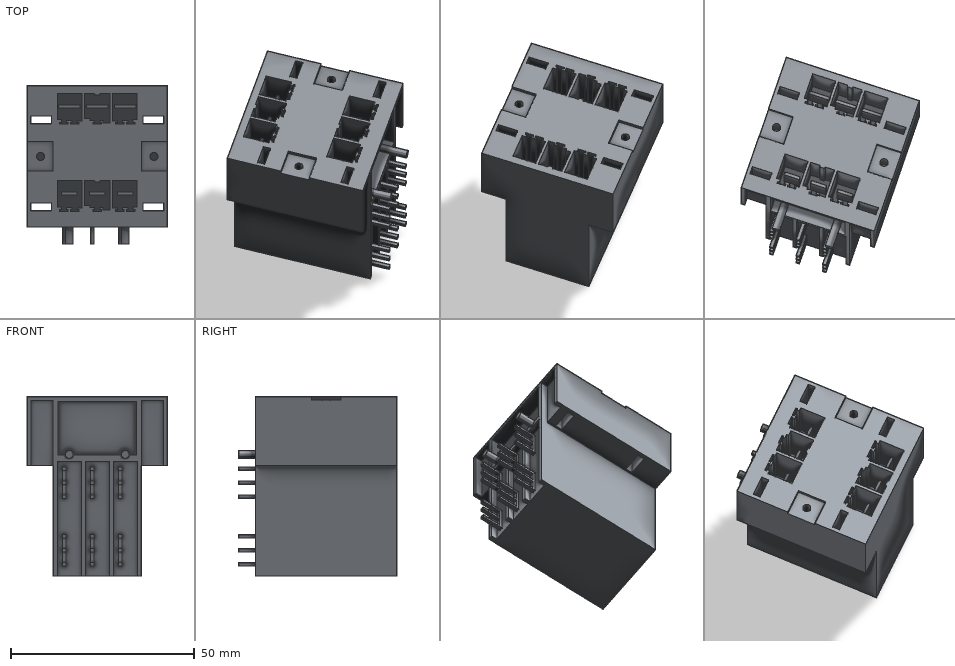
import cadquery as cq

WIDTH = 38.25
DEPTH = 38.6
HEIGHT = 48.9
STEM_WIDTH = 24.1
HEAD_HEIGHT = 18.8
HEAD_BOTTOM = HEIGHT - HEAD_HEIGHT

PITCH = 7.65
COLUMNS = (-PITCH, 0.0, PITCH)
ROW_SPACING = 23.7
FRONT_ROW = 0.0
REAR_ROW = FRONT_ROW + ROW_SPACING
ROWS = (FRONT_ROW, REAR_ROW)

WALL = 1.05
WING_RECESS_DEPTH = 2.0
WINDOW_WIDTH = 21.3
WINDOW_BOTTOM = 33.0
WINDOW_TOP = 47.6
WINDOW_DEPTH = 3.65
CHANNEL_WIDTH = 6.55
CHANNEL_OFFSET = 0.1
CHANNEL_TOP = 31.3
CHANNEL_DEPTH = 1.7

TAIL_LENGTH = 4.6
PEG_DIAMETER = 2.15
PEG_Z = 33.15

SLOT_LENGTH = 5.57
SLOT_WIDTH = 2.05
SLOT_CENTRE_Y = 5.55
PAD_WIDTH = 8.05
PAD_DEPTH = 1.0
PAD_INNER_X = STEM_WIDTH / 2
SCREW_X = 15.45
SCREW_DIAMETER = 2.15
SCREW_DEPTH = 7.35

POCKET_DEPTH = 14.65
POCKET_BACK_Y = 12.75
SIDE_POCKET_INNER_X = 4.2
SIDE_POCKET_OUTER_X = 10.8
SIDE_OUTER_LEDGE_Y = 5.57
SIDE_OUTER_LEDGE_X = 9.8
SIDE_INNER_LEDGE_X = 5.5
SIDE_INNER_LEDGE_Y = 5.2
MIDDLE_POCKET_WIDTH = 6.85
MIDDLE_LEFT_LEDGE_Y = 5.95
MIDDLE_LEFT_LEDGE_X = -1.95
MIDDLE_RIGHT_LEDGE_X = 1.55
MIDDLE_RIGHT_LEDGE_Y = 4.75
BRIDGE_Y = 5.4
RIB_BASE_WIDTH = 1.65
RIB_TIP_WIDTH = 1.15
RIB_HEIGHT = 0.45

KEY_NECK_WIDTH = 1.4
KEY_HEAD_WIDTH = 2.3
KEY_HEAD_TOP_Y = 4.8
KEY_BOTTOM_Y = 4.35

COMB_THICKNESS = 1.0
BLADE_THICKNESS = 0.85
BLADE_CENTRE_Y = 9.25
BLADE_RECESS = 7.35
BLADE_TOP = HEIGHT - BLADE_RECESS
FRONT_BLADE_WIDTH = 4.35
REAR_BLADE_WIDTH = 5.95
COMB_OFFSET = -1.3
TINE_PITCH = 3.8
TINE_COUNT = 3
TINE_HEIGHT = 1.0
COMB_HEIGHT = (TINE_COUNT - 1) * TINE_PITCH + TINE_HEIGHT
FRONT_COMB_BOTTOM = 21.15
REAR_COMB_BOTTOM = 2.7
WEB_PROTRUSION = 0.75
WEB_FRONT_Y = CHANNEL_DEPTH - WEB_PROTRUSION


def block(x0, x1, y0, y1, z0, z1):
    """Box between two opposite corners."""
    return cq.Workplane("XY").box(x1 - x0, y1 - y0, z1 - z0, centered=False).translate((x0, y0, z0))


def make_body():
    """T-shaped block: a wide head on a narrower stem."""
    stem = block(-STEM_WIDTH / 2, STEM_WIDTH / 2, 0, DEPTH, 0, HEIGHT)
    head = block(-WIDTH / 2, WIDTH / 2, 0, DEPTH, HEAD_BOTTOM, HEIGHT)
    return stem.union(head)


def cut_front_recesses(body):
    """Window in the head, one recess per wing and one channel per contact column."""
    window = block(-WINDOW_WIDTH / 2, WINDOW_WIDTH / 2, 0, WINDOW_DEPTH, WINDOW_BOTTOM, WINDOW_TOP)
    body = body.cut(window)
    wing_recess = block(
        STEM_WIDTH / 2, WIDTH / 2 - WALL, 0, WING_RECESS_DEPTH, HEAD_BOTTOM, HEIGHT - WALL
    )
    body = body.cut(wing_recess).cut(wing_recess.mirror("YZ"))
    for column in COLUMNS:
        left = column + CHANNEL_OFFSET - CHANNEL_WIDTH / 2
        body = body.cut(block(left, left + CHANNEL_WIDTH, 0, CHANNEL_DEPTH, 0, CHANNEL_TOP))
    return body


def cut_wing_openings(body):
    """Through slots, sunk pads and blind screw holes, alike on both wings."""
    slot_outer = WIDTH / 2 - WALL
    openings = block(
        PAD_INNER_X, WIDTH / 2, (DEPTH - PAD_WIDTH) / 2, (DEPTH + PAD_WIDTH) / 2, HEIGHT - PAD_DEPTH, HEIGHT
    )
    screw_hole = (
        cq.Workplane("XY", origin=(SCREW_X, DEPTH / 2, HEIGHT))
        .circle(SCREW_DIAMETER / 2)
        .extrude(-SCREW_DEPTH)
    )
    openings = openings.union(screw_hole)
    for row in ROWS:
        front = row + SLOT_CENTRE_Y - SLOT_WIDTH / 2
        slot = block(slot_outer - SLOT_LENGTH, slot_outer, front, front + SLOT_WIDTH, HEAD_BOTTOM, HEIGHT)
        openings = openings.union(slot)
    return body.cut(openings).cut(openings.mirror("YZ"))


def key_slot_points(centre_x, left_y, right_y):
    """T-shaped slot, traced from its left shoulder to its right shoulder."""
    neck = KEY_NECK_WIDTH / 2
    head = KEY_HEAD_WIDTH / 2
    return [
        (centre_x - neck, left_y),
        (centre_x - neck, KEY_HEAD_TOP_Y),
        (centre_x - head, KEY_HEAD_TOP_Y),
        (centre_x - head, KEY_BOTTOM_Y),
        (centre_x + head, KEY_BOTTOM_Y),
        (centre_x + head, KEY_HEAD_TOP_Y),
        (centre_x + neck, KEY_HEAD_TOP_Y),
        (centre_x + neck, right_y),
    ]


def pocket(points):
    """Pocket with the given outline, sunk from the top face."""
    return cq.Workplane("XY", origin=(0, 0, HEIGHT)).polyline(points).close().extrude(-POCKET_DEPTH)


def make_side_pocket():
    """Left pocket, with two key slots; the right one is its mirror image."""
    outer_key_x = -SIDE_OUTER_LEDGE_X + KEY_NECK_WIDTH / 2
    inner_key_x = -SIDE_INNER_LEDGE_X - KEY_NECK_WIDTH / 2
    return pocket(
        [
            (-SIDE_POCKET_OUTER_X, POCKET_BACK_Y),
            (-SIDE_POCKET_OUTER_X, SIDE_OUTER_LEDGE_Y),
            *key_slot_points(outer_key_x, SIDE_OUTER_LEDGE_Y, BRIDGE_Y),
            *key_slot_points(inner_key_x, BRIDGE_Y, SIDE_INNER_LEDGE_Y),
            (-SIDE_POCKET_INNER_X, SIDE_INNER_LEDGE_Y),
            (-SIDE_POCKET_INNER_X, POCKET_BACK_Y),
        ]
    )


def make_middle_pocket():
    """Middle pocket, with one key slot, stepped shoulders and a tapered rib on the back wall."""
    side = MIDDLE_POCKET_WIDTH / 2
    rib_tip_y = POCKET_BACK_Y - RIB_HEIGHT
    return pocket(
        [
            (-side, POCKET_BACK_Y),
            (-side, MIDDLE_LEFT_LEDGE_Y),
            (MIDDLE_LEFT_LEDGE_X, MIDDLE_LEFT_LEDGE_Y),
            (MIDDLE_LEFT_LEDGE_X, BRIDGE_Y),
            *key_slot_points(0, BRIDGE_Y, BRIDGE_Y),
            (MIDDLE_RIGHT_LEDGE_X, BRIDGE_Y),
            (MIDDLE_RIGHT_LEDGE_X, MIDDLE_RIGHT_LEDGE_Y),
            (side, MIDDLE_RIGHT_LEDGE_Y),
            (side, POCKET_BACK_Y),
            (RIB_BASE_WIDTH / 2, POCKET_BACK_Y),
            (RIB_TIP_WIDTH / 2, rib_tip_y),
            (-RIB_TIP_WIDTH / 2, rib_tip_y),
            (-RIB_BASE_WIDTH / 2, POCKET_BACK_Y),
        ]
    )


def cut_plug_pockets(body):
    """The same three pockets in the front row and in the rear row."""
    side_pocket = make_side_pocket()
    for pocket_shape in (side_pocket, make_middle_pocket(), side_pocket.mirror("YZ")):
        for row in ROWS:
            body = body.cut(pocket_shape.translate((0, row, 0)))
    return body


def add_pegs(body):
    """Round pegs along the ledge of the window, as long as the contact tails."""
    for x in (-PITCH, PITCH):
        peg = (
            cq.Workplane("XZ", origin=(x, WINDOW_DEPTH, PEG_Z))
            .circle(PEG_DIAMETER / 2)
            .extrude(WINDOW_DEPTH + TAIL_LENGTH)
        )
        body = body.union(peg)
    return body


def make_contact(column, row, blade_width, comb_bottom):
    """Upright blade across x, joined to a comb plate that runs forward and ends in three tines."""
    blade_front = row + BLADE_CENTRE_Y - BLADE_THICKNESS / 2
    blade_back = blade_front + BLADE_THICKNESS
    comb_left = column + COMB_OFFSET - COMB_THICKNESS / 2
    comb_right = comb_left + COMB_THICKNESS
    contact = block(
        column - blade_width / 2, column + blade_width / 2, blade_front, blade_back, comb_bottom, BLADE_TOP
    )
    plate = block(comb_left, comb_right, WEB_FRONT_Y, blade_back, comb_bottom, comb_bottom + COMB_HEIGHT)
    contact = contact.union(plate)
    for index in range(TINE_COUNT):
        tine_bottom = comb_bottom + index * TINE_PITCH
        tine_top = tine_bottom + TINE_HEIGHT
        tine = block(comb_left, comb_right, -TAIL_LENGTH, WEB_FRONT_Y, tine_bottom, tine_top)
        contact = contact.union(tine)
    return contact.solids()


contacts = []
for column in COLUMNS:
    contacts.append(make_contact(column, FRONT_ROW, FRONT_BLADE_WIDTH, FRONT_COMB_BOTTOM))
    contacts.append(make_contact(column, REAR_ROW, REAR_BLADE_WIDTH, REAR_COMB_BOTTOM))

housing = make_body()
housing = cut_front_recesses(housing)
housing = cut_wing_openings(housing)
housing = cut_plug_pockets(housing)
housing = add_pegs(housing)
for contact in contacts:
    housing = housing.cut(contact)
housing = housing.solids()

result = cq.Compound.makeCompound([housing.val(), *[contact.val() for contact in contacts]])